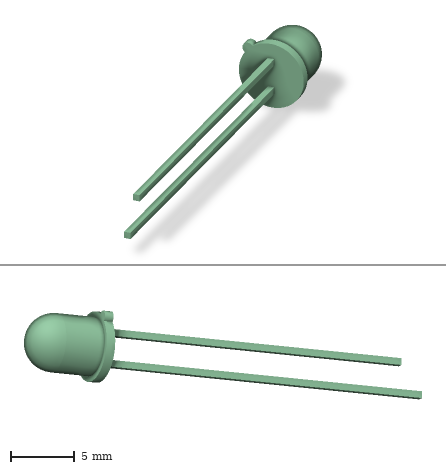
import cadquery as cq
import math

total_length = 34.3

flange_diameter = 5.6
flange_thickness = 0.75

body_diameter = 4.7
body_radius = body_diameter / 2
barrel_length = 3.3

lug_radius = 0.48
lug_angle = 135.0
lug_distance = 2.85

lead_width = 0.55
lead_pitch = 2.5
lead_length_difference = 1.8

dome_base = flange_thickness + barrel_length
head_length = dome_base + body_radius
long_lead_length = total_length - head_length
short_lead_length = long_lead_length - lead_length_difference


def cylinder_along_y(radius, length, x=0.0, z=0.0):
    """Cylinder from the Y = 0 plane towards +Y."""
    return cq.Workplane("XY").add(
        cq.Solid.makeCylinder(radius, length, cq.Vector(x, 0, z), cq.Vector(0, 1, 0))
    )


def make_flange():
    """Round flange with a small round lug on its rim."""
    angle = math.radians(lug_angle)
    lug = cylinder_along_y(
        lug_radius,
        flange_thickness,
        lug_distance * math.cos(angle),
        lug_distance * math.sin(angle),
    )
    return cylinder_along_y(flange_diameter / 2, flange_thickness).union(lug)


def make_body():
    """Barrel and dome, revolved about the Y axis."""
    arc_step = body_radius * math.sqrt(0.5)
    return (
        cq.Workplane("XY")
        .lineTo(body_radius, 0)
        .lineTo(body_radius, dome_base)
        .threePointArc((arc_step, dome_base + arc_step), (0, head_length))
        .close()
        .revolve(360, (0, 0), (0, 1))
    )


def make_lead(length, z):
    """Square lead reaching from the flange towards -Y."""
    return (
        cq.Workplane("XZ")
        .center(0, z)
        .rect(lead_width, lead_width)
        .extrude(length)
    )


result = make_flange().union(make_body())
for length, z in (
    (short_lead_length, lead_pitch / 2),
    (long_lead_length, -lead_pitch / 2),
):
    result = result.union(make_lead(length, z))